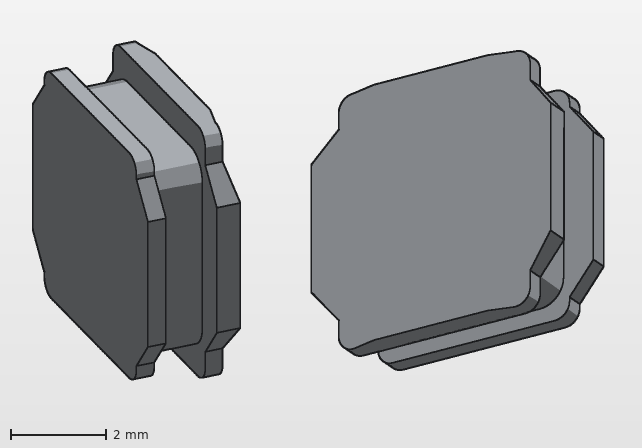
import cadquery as cq

overall_width = 5.91
overall_depth = 2.13

front_flange_thickness = 0.415
back_flange_thickness = 0.545
front_flange_height = 5.32
back_flange_height = 5.91
flange_body_width = 4.73
flange_corner_radius = 0.365
wing_root_height = 4.41
wing_tip_height = 2.955

winding_width = 4.43
winding_height = 4.6
winding_corner_radius = 0.59
winding_length = overall_depth - front_flange_thickness - back_flange_thickness
post_diameter = 2.955

groove_depth = 0.14
groove_inner_x = 1.405
groove_floor_inner_x = 1.985
groove_floor_outer_x = flange_body_width / 2
groove_outer_x = overall_width / 2


def plane_at(y):
    """Plane facing +Y, with its local y axis along +Z and local x along -X."""
    return cq.Workplane(cq.Plane(origin=(0, y, 0), xDir=(-1, 0, 0), normal=(0, 1, 0)))


def make_flange(y, thickness, height):
    """Round-cornered plate with a trapezoidal wing on each side."""
    plate = (
        plane_at(y)
        .rect(flange_body_width, height)
        .extrude(thickness)
        .edges("|Y")
        .fillet(flange_corner_radius)
    )
    root_x = flange_body_width / 2
    tip_x = overall_width / 2
    root_z = wing_root_height / 2
    tip_z = wing_tip_height / 2
    wings = (
        plane_at(y)
        .polyline([
            (-root_x, -root_z),
            (-tip_x, -tip_z),
            (-tip_x, tip_z),
            (-root_x, root_z),
            (root_x, root_z),
            (tip_x, tip_z),
            (tip_x, -tip_z),
            (root_x, -root_z),
        ])
        .close()
        .extrude(thickness)
    )
    return plate.union(wings)


def make_groove(side):
    """Cutter for the groove on the +X (side = 1) or -X (side = -1) half."""
    floor_y = overall_depth - groove_depth
    return (
        cq.Workplane("XY")
        .polyline([
            (side * groove_inner_x, overall_depth),
            (side * groove_floor_inner_x, floor_y),
            (side * groove_floor_outer_x, floor_y),
            (side * groove_outer_x, overall_depth),
        ])
        .close()
        .extrude(back_flange_height / 2, both=True)
    )


def make_post():
    return plane_at(front_flange_thickness).circle(post_diameter / 2).extrude(winding_length)


def make_drum_core():
    """Both flanges joined by the post, grooved across the back face."""
    front_flange = make_flange(0, front_flange_thickness, front_flange_height)
    back_flange = make_flange(
        overall_depth - back_flange_thickness, back_flange_thickness, back_flange_height
    )
    core = front_flange.union(make_post()).union(back_flange)
    for side in (-1, 1):
        core = core.cut(make_groove(side))
    return core


def make_winding():
    """Round-cornered block filling the space between the flanges around the post."""
    return (
        plane_at(front_flange_thickness)
        .rect(winding_width, winding_height)
        .extrude(winding_length)
        .edges("|Y")
        .fillet(winding_corner_radius)
        .cut(make_post())
    )


drum_core = make_drum_core()
winding = make_winding()

result = cq.Compound.makeCompound([drum_core.val(), winding.val()])